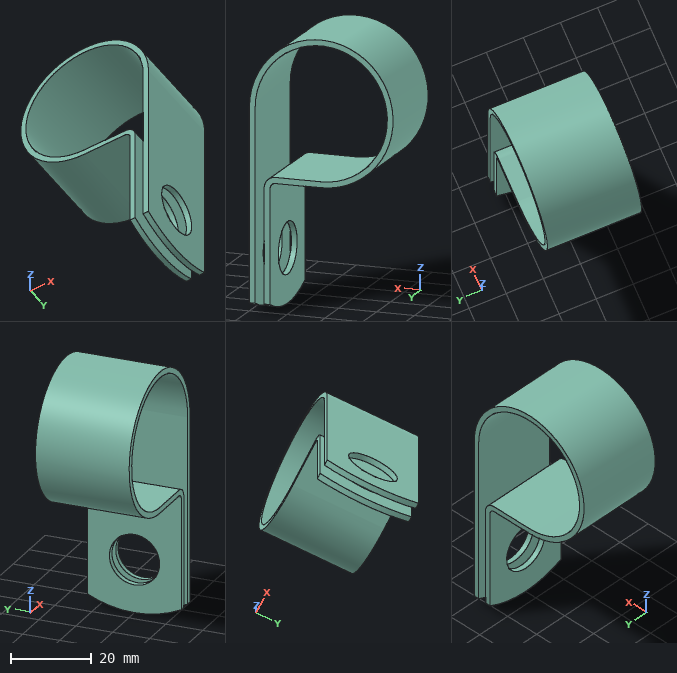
import cadquery as cq
import math

strap_width = 25.4
strap_thickness = 1.57
loop_outer_radius = 19.0
loop_center_to_tip = 53.15
leg_gap = 2.38
bend_outer_radius = 3.0
hole_diameter = 13.5
hole_to_tip = 14.29
tip_sagitta = 2.9

loop_inner_radius = loop_outer_radius - strap_thickness
bend_inner_radius = bend_outer_radius - strap_thickness
tip_z = -loop_center_to_tip
hole_z = tip_z + hole_to_tip
short_leg_outer_x = loop_inner_radius - leg_gap
short_leg_inner_x = short_leg_outer_x - strap_thickness
bend_center_x = short_leg_outer_x - bend_outer_radius
bend_center_z = -loop_inner_radius - bend_outer_radius
half_width = strap_width / 2


def bend_point(radius):
    """Middle point of the quarter-circle bend at the given radius."""
    offset = radius * math.sqrt(0.5)
    return (bend_center_x + offset, bend_center_z + offset)


def loop_point(radius):
    """Point on the loop, halfway along its three-quarter turn."""
    offset = radius * math.sqrt(0.5)
    return (-offset, offset)


def make_strap():
    """Constant-thickness strap: long leg, loop, shelf, bend and short leg."""
    return (
        cq.Workplane("XZ")
        .moveTo(loop_outer_radius, tip_z)
        .lineTo(loop_outer_radius, 0)
        .threePointArc(loop_point(loop_outer_radius), (0, -loop_outer_radius))
        .lineTo(bend_center_x, -loop_outer_radius)
        .threePointArc(bend_point(bend_inner_radius), (short_leg_inner_x, bend_center_z))
        .lineTo(short_leg_inner_x, tip_z)
        .lineTo(short_leg_outer_x, tip_z)
        .lineTo(short_leg_outer_x, bend_center_z)
        .threePointArc(bend_point(bend_outer_radius), (bend_center_x, -loop_inner_radius))
        .lineTo(0, -loop_inner_radius)
        .threePointArc(loop_point(loop_inner_radius), (loop_inner_radius, 0))
        .lineTo(loop_inner_radius, tip_z)
        .close()
        .extrude(half_width, both=True)
    )


def make_side_envelope():
    """Side outline of the whole clip, with the rounded leg tips."""
    tip_corner_z = tip_z + tip_sagitta
    return (
        cq.Workplane("YZ")
        .moveTo(-half_width, loop_outer_radius)
        .lineTo(-half_width, tip_corner_z)
        .threePointArc((0, tip_z), (half_width, tip_corner_z))
        .lineTo(half_width, loop_outer_radius)
        .close()
        .extrude(loop_outer_radius, both=True)
    )


def make_bolt_hole():
    """Cylinder that passes through both legs."""
    return (
        cq.Workplane("YZ")
        .center(0, hole_z)
        .circle(hole_diameter / 2)
        .extrude(loop_outer_radius, both=True)
    )


result = make_strap().intersect(make_side_envelope()).cut(make_bolt_hole())